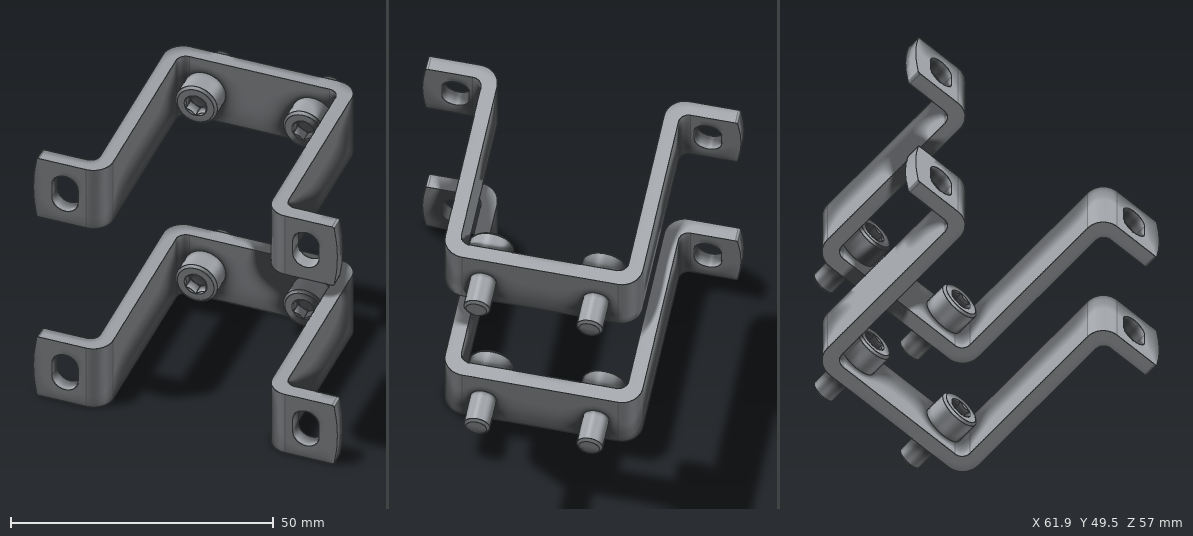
import cadquery as cq
import math

overall_width = 61.85
strap_height = 14.05
sheet = 2.95
strap_depth = 42.7
wall_outer_half = 19.2
bend_outer_radius = 4.0
bend_inner_radius = 2.0
end_arc_radius = 35.0
end_corner_radius = 0.5

slot_width = 5.3
slot_length = 8.3
slot_x = 24.5

screw_x = 10.95
shank_diameter = 5.0
shank_protrusion = 6.75
head_diameter = 8.5
head_length = 5.0
head_gap = 0.4
screw_chamfer = 0.5
socket_flats = 4.0
socket_depth = 2.5
socket_point_angle = 120.0
socket_mouth_angle = 90.0

overall_height = 57.0
set_half_spacing = (overall_height - strap_height) / 2

half_width = overall_width / 2
wall_inner_half = wall_outer_half - sheet
back_inner_y = strap_depth - sheet
head_rear_y = back_inner_y - head_gap
head_front_y = head_rear_y - head_length
shank_end_y = strap_depth + shank_protrusion


def strap_profile():
    """Hat-shaped outline in the XY plane, extruded both ways along Z, with rounded bends."""
    right_half = [
        (wall_inner_half, back_inner_y),
        (wall_inner_half, 0),
        (half_width, 0),
        (half_width, sheet),
        (wall_outer_half, sheet),
        (wall_outer_half, strap_depth),
    ]
    left_half = [(-x, y) for x, y in reversed(right_half)]
    strap = (
        cq.Workplane("XY")
        .polyline(right_half + left_half)
        .close()
        .extrude(strap_height / 2, both=True)
    )
    outer_bends = [(wall_inner_half, 0), (wall_outer_half, strap_depth)]
    inner_bends = [(wall_inner_half, back_inner_y), (wall_outer_half, sheet)]
    for bends, radius in ((outer_bends, bend_outer_radius), (inner_bends, bend_inner_radius)):
        for x, y in bends:
            for side in (-1, 1):
                edge = cq.selectors.NearestToPointSelector((side * x, y, 0))
                strap = strap.edges("|Z").edges(edge).fillet(radius)
    return strap


def end_envelope():
    """Front outline of the strap: straight top and bottom, bowed ends, rounded corners."""
    half_height = strap_height / 2
    corner_x = half_width - end_arc_radius + math.sqrt(end_arc_radius**2 - half_height**2)
    return (
        cq.Workplane("XZ")
        .moveTo(-corner_x, -half_height)
        .lineTo(corner_x, -half_height)
        .threePointArc((half_width, 0), (corner_x, half_height))
        .lineTo(-corner_x, half_height)
        .threePointArc((-half_width, 0), (-corner_x, -half_height))
        .close()
        .extrude(-strap_depth)
        .edges("|Y")
        .fillet(end_corner_radius)
    )


def make_bracket():
    """Bent strap with a vertical slot in each flange and two screw holes in the back wall."""
    slots = (
        cq.Workplane("XZ")
        .pushPoints([(-slot_x, 0), (slot_x, 0)])
        .slot2D(slot_length, slot_width, 90)
        .extrude(-sheet)
    )
    screw_holes = (
        cq.Workplane("XZ", origin=(0, back_inner_y, 0))
        .pushPoints([(-screw_x, 0), (screw_x, 0)])
        .circle(shank_diameter / 2)
        .extrude(-sheet)
    )
    return strap_profile().intersect(end_envelope()).cut(slots).cut(screw_holes)


def make_socket():
    """Hexagonal recess with a countersunk mouth and a conical bottom."""
    corner_radius = socket_flats / math.sqrt(3)
    flat_radius = socket_flats / 2
    mouth_depth = corner_radius / math.tan(math.radians(socket_mouth_angle / 2))
    point_depth = flat_radius / math.tan(math.radians(socket_point_angle / 2))
    bottom_y = head_front_y + socket_depth
    hexagon = (
        cq.Workplane("XZ", origin=(0, head_front_y, 0))
        .transformed(rotate=(0, 0, 90))
        .polygon(6, 2 * corner_radius)
        .extrude(-socket_depth)
    )
    inward = cq.Vector(0, 1, 0)
    mouth = cq.Solid.makeCone(corner_radius, 0, mouth_depth, cq.Vector(0, head_front_y, 0), inward)
    point = cq.Solid.makeCone(flat_radius, 0, point_depth, cq.Vector(0, bottom_y, 0), inward)
    return hexagon.union(cq.Workplane(mouth)).union(cq.Workplane(point))


def make_screw():
    """Screw along Y: chamfered head in front of the back wall, shank through it."""
    head = (
        cq.Workplane("XZ", origin=(0, head_rear_y, 0))
        .circle(head_diameter / 2)
        .extrude(head_length)
        .faces("<Y")
        .chamfer(screw_chamfer)
    )
    shank = (
        cq.Workplane("XZ", origin=(0, head_rear_y, 0))
        .circle(shank_diameter / 2)
        .extrude(head_rear_y - shank_end_y)
        .faces(">Y")
        .chamfer(screw_chamfer)
    )
    return head.union(shank).cut(make_socket())


bracket = make_bracket()
screw = make_screw()

bodies = []
for set_z in (-set_half_spacing, set_half_spacing):
    bodies.append(bracket.translate((0, 0, set_z)).val())
    for x in (-screw_x, screw_x):
        bodies.append(screw.translate((x, 0, set_z)).val())

result = cq.Compound.makeCompound(bodies)